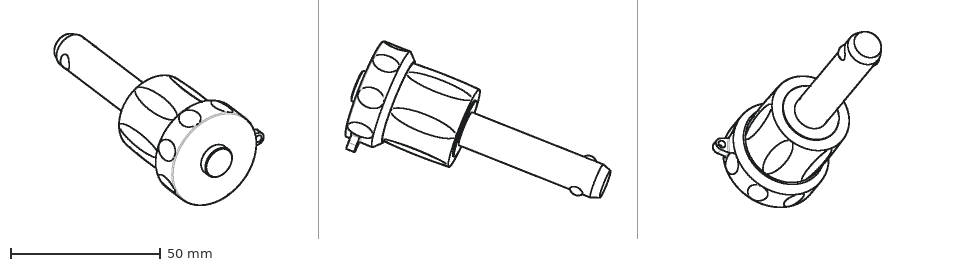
import cadquery as cq
import math


shank_radius = 6.0
tip_taper_length = 3.0
tip_taper_angle = 20.0
tip_radius = shank_radius - tip_taper_length * math.tan(math.radians(tip_taper_angle))

ball_x = 8.0
ball_radius = 2.9
ball_reach = 7.25

shoulder_x = 50.7
handle_start_x = 51.2
knob_start_x = 75.0
button_length = 2.8
overall_length = 90.1
knob_end_x = overall_length - button_length

shoulder_radius = 10.1
handle_end_radius = 14.0
handle_mid_radius = 14.35
handle_mid_x = (handle_start_x + knob_start_x) / 2
flute_count = 6
flute_width = 6.2
flute_floor_radius = 13.2
flute_end_clearance = 0.03

knob_radius = 17.3
knob_chamfer = 2.6
knob_rim_radius = 0.35
dimple_count = 8
dimple_length = 9.1
dimple_depth = 0.75
dimple_setback = 5.0
dimple_x = knob_end_x - dimple_setback
button_radius = 5.5
button_chamfer = 0.3

tab_reach = 21.79
tab_thickness = 2.9
tab_x = 83.5
tab_end_radius = 2.2
tab_base_half_width = 2.8
tab_hole_diameter = 2.5
tab_root_fillet = 0.4
tab_root_depth = 2.0


def cylinder(start_x, end_x, radius):
    """Solid cylinder on the pin axis."""
    return cq.Workplane("YZ").workplane(offset=start_x).circle(radius).extrude(end_x - start_x)


def turned_about(profile, axis_y=0.0):
    """Revolve an XY profile about the line parallel to X at the given Y."""
    return profile.revolve(360, (0, axis_y, 0), (1, axis_y, 0))


def around_axis(body, angle):
    """Rotate a body about the pin axis."""
    return body.rotate((0, 0, 0), (1, 0, 0), angle)


def make_shank():
    profile = (
        cq.Workplane("XY")
        .lineTo(0, tip_radius)
        .lineTo(tip_taper_length, shank_radius)
        .lineTo(handle_start_x, shank_radius)
        .lineTo(handle_start_x, 0)
        .close()
    )
    shank = turned_about(profile)
    for side in (1, -1):
        ball_y = side * (ball_reach - ball_radius)
        ball = cq.Workplane("XY").sphere(ball_radius).translate((ball_x, ball_y, 0))
        shank = shank.union(ball)
    return shank


def make_flute_cutter():
    """Spindle that leaves a lens-shaped scoop with its points just inside the handle ends."""
    half_width = flute_width / 2
    edge_height = math.sqrt(handle_mid_radius**2 - half_width**2)
    edge_rise = edge_height - flute_floor_radius
    scoop_radius = (half_width**2 + edge_rise**2) / (2 * edge_rise)
    axis_y = flute_floor_radius + scoop_radius
    end_y = handle_end_radius + flute_end_clearance
    profile = (
        cq.Workplane("XY")
        .moveTo(handle_start_x, axis_y)
        .lineTo(handle_start_x, end_y)
        .threePointArc((handle_mid_x, flute_floor_radius), (knob_start_x, end_y))
        .lineTo(knob_start_x, axis_y)
        .close()
    )
    return turned_about(profile, axis_y)


def make_handle():
    profile = (
        cq.Workplane("XY")
        .moveTo(handle_start_x, 0)
        .lineTo(handle_start_x, handle_end_radius)
        .threePointArc((handle_mid_x, handle_mid_radius), (knob_start_x, handle_end_radius))
        .lineTo(knob_start_x, 0)
        .close()
    )
    handle = turned_about(profile)
    cutter = make_flute_cutter()
    for index in range(flute_count):
        handle = handle.cut(around_axis(cutter, index * 360 / flute_count))
    return handle.union(cylinder(shoulder_x, handle_start_x, shoulder_radius))


def make_knob():
    knob = cylinder(knob_start_x, knob_end_x, knob_radius)
    knob = knob.faces("<X").chamfer(knob_chamfer)
    knob = knob.faces(">X").edges().fillet(knob_rim_radius)

    half_length = dimple_length / 2
    sphere_radius = (half_length**2 + dimple_depth**2) / (2 * dimple_depth)
    sphere_y = knob_radius - dimple_depth + sphere_radius
    sphere = cq.Workplane("XY").sphere(sphere_radius).translate((dimple_x, sphere_y, 0))
    spacing = 360 / dimple_count
    for index in range(dimple_count):
        knob = knob.cut(around_axis(sphere, (index + 0.5) * spacing))
    return knob


def make_tab():
    """Eyelet plate: a round end joined by tangent sides to a wider root inside the knob."""
    eye_y = tab_reach - tab_end_radius
    base_y = math.sqrt(knob_radius**2 - tab_base_half_width**2)
    base_distance = math.hypot(eye_y - base_y, tab_base_half_width)
    base_angle = math.atan2(tab_base_half_width, base_y - eye_y)
    tangent_angle = base_angle - math.acos(tab_end_radius / base_distance)
    tangent_y = eye_y + tab_end_radius * math.cos(tangent_angle)
    tangent_z = tab_end_radius * math.sin(tangent_angle)
    root_y = base_y - tab_root_depth
    root_z = tab_base_half_width + tab_root_depth / math.tan(tangent_angle)
    plate = (
        cq.Workplane("YZ")
        .workplane(offset=tab_x - tab_thickness / 2)
        .moveTo(root_y, -root_z)
        .lineTo(tangent_y, -tangent_z)
        .threePointArc((tab_reach, 0), (tangent_y, tangent_z))
        .lineTo(root_y, root_z)
        .close()
        .extrude(tab_thickness)
    )
    hole = (
        cq.Workplane("YZ")
        .workplane(offset=tab_x - tab_thickness / 2)
        .center(eye_y, 0)
        .circle(tab_hole_diameter / 2)
        .extrude(tab_thickness)
    )
    return plate.cut(hole)


def make_knob_with_tab():
    """Join the tab to the knob and round the seam where it meets the knob surface."""
    seam_margin = 0.1
    seam_half_x = tab_thickness / 2 + seam_margin
    seam_half_z = tab_base_half_width + seam_margin
    seam_low_y = math.sqrt(knob_radius**2 - tab_base_half_width**2) - seam_margin
    seam_box = cq.selectors.BoxSelector(
        (tab_x - seam_half_x, seam_low_y, -seam_half_z),
        (tab_x + seam_half_x, knob_radius + seam_margin, seam_half_z),
        boundingbox=True,
    )
    knob = around_axis(make_knob(), 180)
    return knob.union(make_tab()).edges(seam_box).fillet(tab_root_fillet)


def make_button():
    return cylinder(knob_end_x, overall_length, button_radius).faces(">X").chamfer(button_chamfer)


pin = (
    make_shank()
    .union(make_handle())
    .union(make_knob_with_tab())
    .union(make_button())
)
result = cq.Workplane("XY").newObject([pin.solids().val()])